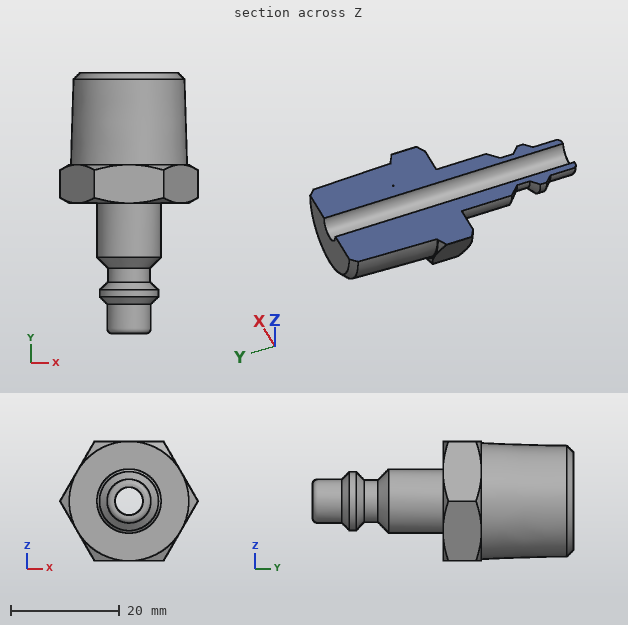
import cadquery as cq
import math

LENGTH = 48.0
HEX_ACROSS_FLATS = 22.0
HEX_START = 24.0
HEX_END = 31.05
HEX_CHAMFER_ANGLE = 30.0

TIP_DIAMETER = 8.05
TIP_ROUND = 0.95
TIP_END = 5.4
COLLAR_DIAMETER = 10.85
COLLAR_START = 6.8
COLLAR_END = 8.05
NECK_DIAMETER = 7.8
NECK_START = 9.5
NECK_END = 12.05
SHANK_DIAMETER = 11.8
SHANK_START = 14.0

THREAD_BASE_DIAMETER = 21.4
THREAD_END_DIAMETER = 20.45
THREAD_CHAMFER_START = 46.75
THREAD_FACE_DIAMETER = 17.95

BORE_DIAMETER = 5.1


def revolve_profile(points):
    """Revolve (radius, station) points about the Y axis."""
    return cq.Workplane("XY").polyline(points).close().revolve(360, (0, 0), (0, 1))


def make_nipple():
    tip_radius = TIP_DIAMETER / 2
    collar_radius = COLLAR_DIAMETER / 2
    neck_radius = NECK_DIAMETER / 2
    shank_radius = SHANK_DIAMETER / 2
    nipple = revolve_profile([
        (0, 0),
        (tip_radius, 0),
        (tip_radius, TIP_END),
        (collar_radius, COLLAR_START),
        (collar_radius, COLLAR_END),
        (neck_radius, NECK_START),
        (neck_radius, NECK_END),
        (shank_radius, SHANK_START),
        (shank_radius, HEX_START),
        (0, HEX_START),
    ])
    return nipple.faces("<Y").edges().fillet(TIP_ROUND)


def make_hexagon():
    """Hexagon with corners on +X and -X, cone-chamfered on both faces."""
    flat_radius = HEX_ACROSS_FLATS / 2
    corner_radius = flat_radius / math.cos(math.radians(30))
    chamfer_depth = (corner_radius - flat_radius) * math.tan(math.radians(HEX_CHAMFER_ANGLE))
    prism = (
        cq.Workplane("XZ", origin=(0, HEX_END, 0))
        .polygon(6, 2 * corner_radius)
        .extrude(HEX_END - HEX_START)
    )
    chamfer_envelope = revolve_profile([
        (0, HEX_START),
        (flat_radius, HEX_START),
        (corner_radius, HEX_START + chamfer_depth),
        (corner_radius, HEX_END - chamfer_depth),
        (flat_radius, HEX_END),
        (0, HEX_END),
    ])
    return prism.intersect(chamfer_envelope)


def make_thread_body():
    return revolve_profile([
        (0, HEX_END),
        (THREAD_BASE_DIAMETER / 2, HEX_END),
        (THREAD_END_DIAMETER / 2, THREAD_CHAMFER_START),
        (THREAD_FACE_DIAMETER / 2, LENGTH),
        (0, LENGTH),
    ])


def make_bore():
    """Straight bore through the whole length."""
    return cq.Workplane("XZ").circle(BORE_DIAMETER / 2).extrude(-LENGTH)


plug = make_nipple().union(make_hexagon()).union(make_thread_body()).cut(make_bore())
result = plug.translate((0, -LENGTH / 2, 0))